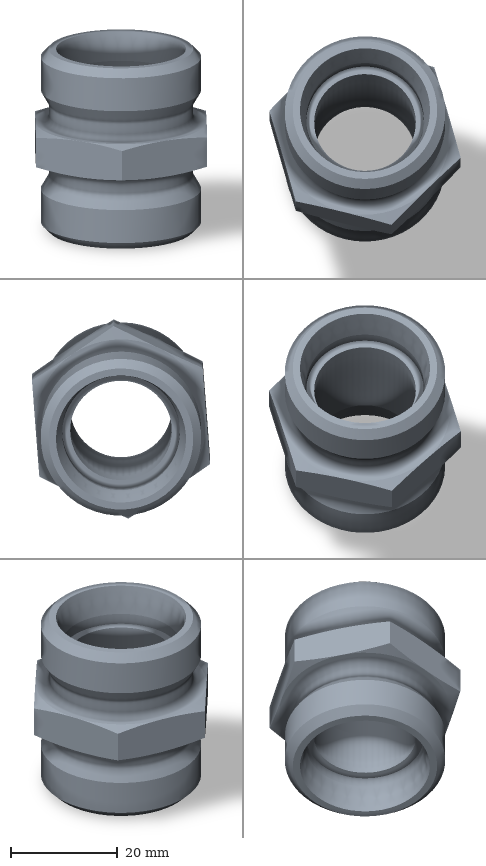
import cadquery as cq
import math

total_length = 35.0
thread_diameter = 30.0
thread_length = 7.9
end_chamfer = 1.5

groove_diameter = 27.0
relief_cone_angle = 30.0
relief_blend_radius = 1.0
hex_root_radius = 1.2

across_flats = 32.0
hex_height = 7.0
hex_chamfer_angle = 15.0

through_diameter = 19.0
socket_diameter = 22.0
socket_depth = 7.5
cone_mouth_diameter = 24.3
cone_half_angle = 12.0

hex_sides = 6
half_side_angle = 180 / hex_sides
half_length = total_length / 2
half_hex = hex_height / 2
thread_radius = thread_diameter / 2
groove_radius = groove_diameter / 2
flat_radius = across_flats / 2
corner_radius = flat_radius / math.cos(math.radians(half_side_angle))
axis_start = (0, 0)
axis_end = (0, 1)


def revolve_profile(profile):
    """Turn a closed (radius, height) profile around the Z axis."""
    return profile.close().revolve(360, axis_start, axis_end)


def hexagon():
    """Hexagonal collar, corners on the Y axis, chamfered at both ends."""
    prism = (
        cq.Workplane("XY")
        .workplane(offset=-half_hex)
        .polygon(hex_sides, 2 * corner_radius)
        .extrude(hex_height)
        .rotate((0, 0, 0), (0, 0, 1), half_side_angle)
    )
    corner_drop = (corner_radius - flat_radius) * math.tan(math.radians(hex_chamfer_angle))
    envelope = revolve_profile(
        cq.Workplane("XZ")
        .moveTo(0, -half_hex)
        .lineTo(flat_radius, -half_hex)
        .lineTo(corner_radius, -half_hex + corner_drop)
        .lineTo(corner_radius, half_hex - corner_drop)
        .lineTo(flat_radius, half_hex)
        .lineTo(0, half_hex)
    )
    return prism.intersect(envelope)


def upper_stud():
    """Threaded end with its relief groove, from mid-length to the upper end face."""
    angle = math.radians(relief_cone_angle)
    cone_top = half_length - thread_length
    cone_bottom = cone_top - (thread_radius - groove_radius) / math.tan(angle)

    tangent_length = relief_blend_radius * math.tan(angle / 2)
    blend_start = (groove_radius, cone_bottom - tangent_length)
    blend_middle = (
        groove_radius + relief_blend_radius * (1 - math.cos(angle / 2)),
        blend_start[1] + relief_blend_radius * math.sin(angle / 2),
    )
    blend_end = (
        groove_radius + relief_blend_radius * (1 - math.cos(angle)),
        blend_start[1] + relief_blend_radius * math.sin(angle),
    )

    root_start = (groove_radius + hex_root_radius, half_hex)
    root_inset = hex_root_radius * (1 - math.sqrt(0.5))
    root_middle = (groove_radius + root_inset, half_hex + root_inset)
    root_end = (groove_radius, half_hex + hex_root_radius)

    return revolve_profile(
        cq.Workplane("XZ")
        .moveTo(0, 0)
        .lineTo(root_start[0], 0)
        .lineTo(*root_start)
        .threePointArc(root_middle, root_end)
        .lineTo(*blend_start)
        .threePointArc(blend_middle, blend_end)
        .lineTo(thread_radius, cone_top)
        .lineTo(thread_radius, half_length - end_chamfer)
        .lineTo(thread_radius - end_chamfer, half_length)
        .lineTo(0, half_length)
    )


def upper_bore():
    """Through bore, tube socket and sealing cone of the upper half."""
    socket_radius = socket_diameter / 2
    mouth_radius = cone_mouth_diameter / 2
    cone_depth = (mouth_radius - socket_radius) / math.tan(math.radians(cone_half_angle))
    return revolve_profile(
        cq.Workplane("XZ")
        .moveTo(0, 0)
        .lineTo(through_diameter / 2, 0)
        .lineTo(through_diameter / 2, half_length - socket_depth)
        .lineTo(socket_radius, half_length - socket_depth)
        .lineTo(socket_radius, half_length - cone_depth)
        .lineTo(mouth_radius, half_length)
        .lineTo(0, half_length)
    )


def both_ends(upper_half):
    """Join an upper half with its mirror image below the XY plane."""
    return upper_half.union(upper_half.mirror("XY"))


result = hexagon().union(both_ends(upper_stud())).cut(both_ends(upper_bore()))